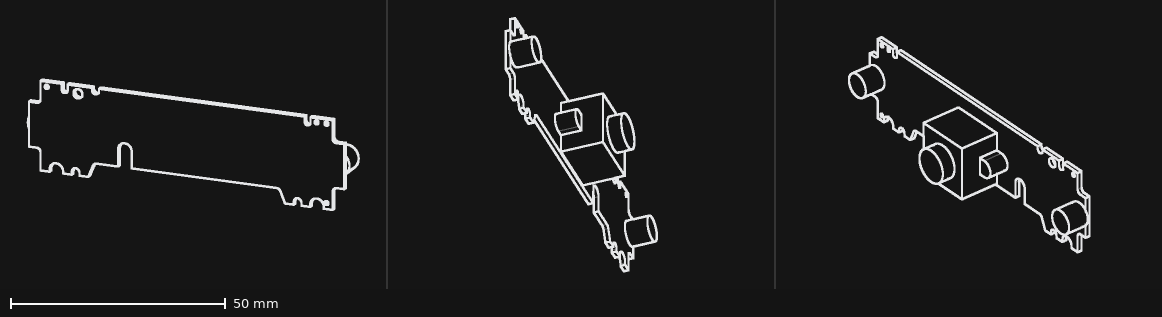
import cadquery as cq
import math

board_thickness = 1.2
board_height = 22.0
body_width = 73.8
tab_span = 79.7
tab_height = 11.05
tab_corner_radius = 1.0

half_height = board_height / 2
top_z = half_height
bottom_z = -half_height

recess_z = -7.5
foot_inner_x = 24.9
foot_slope_angle = 67.5
recess_corner_radius = 1.0

top_slots = [(-30.8, 1.5, 2.2), (-23.0, 1.7, 1.5), (30.6, 1.5, 2.0)]
large_foot_slot = (32.9, 3.4, 2.3)
small_foot_slot = (28.05, 1.95, 1.7)
recess_slot = (-15.6, 3.4, 5.9)

large_hole_diameter = 2.3
large_hole_position = (-27.5, 9.1)
pin_hole_diameter = 1.0
pin_hole_positions = [(-35.4, 9.75), (32.85, 10.0), (35.4, 10.0), (35.4, -9.5)]

total_depth = 15.2
housing_side = 14.15
housing_back_y = 11.7
button_diameter = 8.7
flange_length = 22.0
flange_height = 4.55
flange_back_y = 6.35
peg_diameter = 6.3
peg_back_y = 6.8
overall_width = 81.3
peg_x = (overall_width - peg_diameter) / 2


def xz_plane(y):
    """Sketch plane facing +Y at depth y; its local X runs along global X, local Y along -Z."""
    return cq.Workplane(cq.Plane(origin=(0, y, 0), xDir=(1, 0, 0), normal=(0, 1, 0)))


def block(width, height, z, back_y):
    """Rectangular block centred on X = 0, from the front face back to back_y."""
    return xz_plane(0).center(0, -z).rect(width, height).extrude(back_y)


def cut_open_slot(plate, slot, edge_z, inward):
    """Cut a round-ended slot inward (+1 up, -1 down) from a horizontal edge."""
    x, width, depth = slot
    radius = width / 2
    centre_z = edge_z + inward * (depth - radius)
    outer_z = edge_z - inward * radius
    straight = (
        xz_plane(0)
        .center(x, -(centre_z + outer_z) / 2)
        .rect(width, abs(centre_z - outer_z))
        .extrude(board_thickness)
    )
    end = xz_plane(0).center(x, -centre_z).circle(radius).extrude(board_thickness)
    return plate.cut(straight).cut(end)


def cut_holes(plate, positions, diameter):
    points = [(x, -z) for x, z in positions]
    holes = xz_plane(0).pushPoints(points).circle(diameter / 2).extrude(board_thickness)
    return plate.cut(holes)


def make_board():
    plate = block(body_width, board_height, 0, board_thickness)
    plate = plate.union(block(tab_span, tab_height, 0, board_thickness))

    corners = cq.selectors.BoxSelector(
        (-body_width / 2 - 0.8, -0.8, -tab_height / 2 - 0.8),
        (body_width / 2 + 0.8, board_thickness + 0.8, tab_height / 2 + 0.8),
    )
    plate = plate.edges("|Y").edges(corners).fillet(tab_corner_radius)

    slope_run = (recess_z - bottom_z) / math.tan(math.radians(foot_slope_angle))
    recess_inner_x = foot_inner_x - slope_run
    recess = (
        xz_plane(0)
        .polyline([
            (-foot_inner_x, -bottom_z),
            (-recess_inner_x, -recess_z),
            (recess_inner_x, -recess_z),
            (foot_inner_x, -bottom_z),
        ])
        .close()
        .extrude(board_thickness)
    )
    recess = recess.faces(">Z").edges("|Y").fillet(recess_corner_radius)
    plate = plate.cut(recess)

    for slot in top_slots:
        plate = cut_open_slot(plate, slot, top_z, -1)
    for x, width, depth in (large_foot_slot, small_foot_slot):
        for side in (-1, 1):
            plate = cut_open_slot(plate, (side * x, width, depth), bottom_z, 1)
    plate = cut_open_slot(plate, recess_slot, recess_z, 1)

    plate = cut_holes(plate, [large_hole_position], large_hole_diameter)
    return cut_holes(plate, pin_hole_positions, pin_hole_diameter)


def make_switch():
    """Square housing with a round button behind it and a round-ended flange."""
    back = xz_plane(board_thickness)
    housing = back.rect(housing_side, housing_side).extrude(housing_back_y - board_thickness)
    flange = back.slot2D(flange_length, flange_height).extrude(flange_back_y - board_thickness)
    button = (
        xz_plane(housing_back_y)
        .circle(button_diameter / 2)
        .extrude(total_depth - housing_back_y)
    )
    return housing.union(flange).union(button)


def make_pegs():
    """Round pegs behind the end tabs, overhanging them slightly."""
    return (
        xz_plane(board_thickness)
        .pushPoints([(-peg_x, 0), (peg_x, 0)])
        .circle(peg_diameter / 2)
        .extrude(peg_back_y - board_thickness)
    )


result = make_board().union(make_switch()).union(make_pegs())